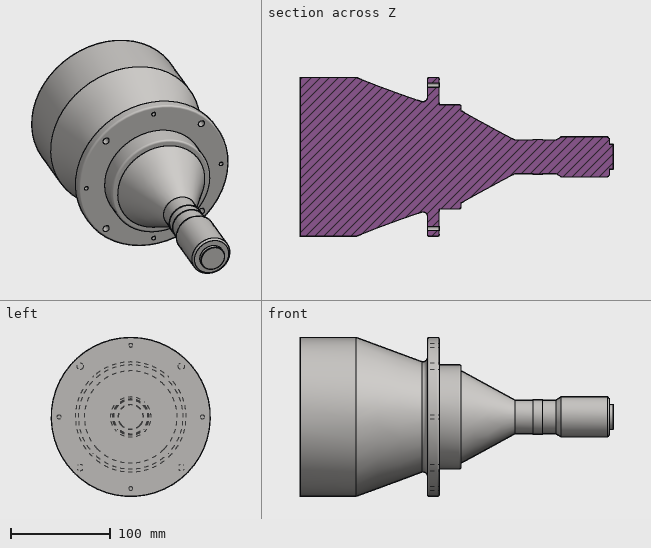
import cadquery as cq
import math

drum_end = 56.5
front_cone_end = 122.7
throat_start = 123.5
flange_front = 128.0
flange_back = 140.0
collar_end = 162.0
rear_cone_end = 216.0
band_start = 234.0
band_end = 243.5
shoulder_start = 257.0
barrel_start = 262.5
barrel_end = 311.0
overall_length = 315.0

drum_radius = 80.0
throat_radius = 55.5
flange_radius = 80.0
collar_radius = 52.5
rear_cone_radius = 46.5
stem_radius = 17.0
band_radius = 17.5
barrel_radius = 20.3
tip_radius = 12.7

flange_edge_fillet = 2.0
collar_edge_fillet = 2.0
barrel_edge_chamfer = 2.0
tip_edge_chamfer = 0.4
throat_blend = flange_front - throat_start

hole_circle_radius = 72.0
hole_count = 4
bolt_hole_diameter = 6.6
pin_hole_diameter = 4.0


def disc(start, end, radius):
    """Cylinder on the X axis between two stations."""
    return revolved([(start, radius), (end, radius)])


def revolved(points):
    """Solid of revolution about X from (station, radius) points, closed along the axis."""
    first_station = points[0][0]
    last_station = points[-1][0]
    outline = [(first_station, 0)] + points + [(last_station, 0)]
    return cq.Workplane("XZ").polyline(outline).close().revolve(360, (0, 0, 0), (1, 0, 0))


def front_body():
    """Drum, front cone, short throat and the concave blend that flares into the flange."""
    flare_radius = throat_radius + throat_blend
    mid_angle = math.radians(45)
    arc_middle = (
        throat_start + throat_blend * math.sin(mid_angle),
        flare_radius - throat_blend * math.cos(mid_angle),
    )
    return (
        cq.Workplane("XZ")
        .lineTo(0, drum_radius)
        .lineTo(drum_end, drum_radius)
        .lineTo(front_cone_end, throat_radius)
        .lineTo(throat_start, throat_radius)
        .threePointArc(arc_middle, (flange_front, flare_radius))
        .lineTo(flange_front, 0)
        .close()
        .revolve(360, (0, 0, 0), (1, 0, 0))
    )


def flange_holes(diameter, start_angle):
    """Through-hole cutters evenly spaced on the flange hole circle."""
    return (
        cq.Workplane("YZ", origin=(flange_front, 0, 0))
        .polarArray(hole_circle_radius, start_angle, 360, hole_count)
        .circle(diameter / 2)
        .extrude(flange_back - flange_front)
    )


def flange():
    """Mounting flange with rounded rims, bolt holes and pin holes."""
    plate = disc(flange_front, flange_back, flange_radius).edges("%CIRCLE").fillet(flange_edge_fillet)
    half_pitch = 360 / hole_count / 2
    return plate.cut(flange_holes(bolt_hole_diameter, half_pitch)).cut(flange_holes(pin_hole_diameter, 0))


def collar():
    """Cylindrical collar behind the flange, rounded at its rear rim."""
    return disc(flange_back, collar_end, collar_radius).edges(">X").fillet(collar_edge_fillet)


def rear_cone():
    return revolved([(collar_end, rear_cone_radius), (rear_cone_end, stem_radius)])


def stem():
    """Slim tube with a slightly raised band and a conical shoulder leading to the barrel."""
    tube = disc(rear_cone_end, shoulder_start, stem_radius)
    band = disc(band_start, band_end, band_radius)
    shoulder = revolved([(shoulder_start, stem_radius), (barrel_start, barrel_radius)])
    return tube.union(band).union(shoulder)


def barrel():
    """Rear connector barrel, chamfered at its rear rim, with a chamfered tip disc."""
    body = disc(barrel_start, barrel_end, barrel_radius).edges(">X").chamfer(barrel_edge_chamfer)
    tip = disc(barrel_end, overall_length, tip_radius).edges(">X").chamfer(tip_edge_chamfer)
    return body.union(tip)


result = front_body()
for section in (flange(), collar(), rear_cone(), stem(), barrel()):
    result = result.union(section)